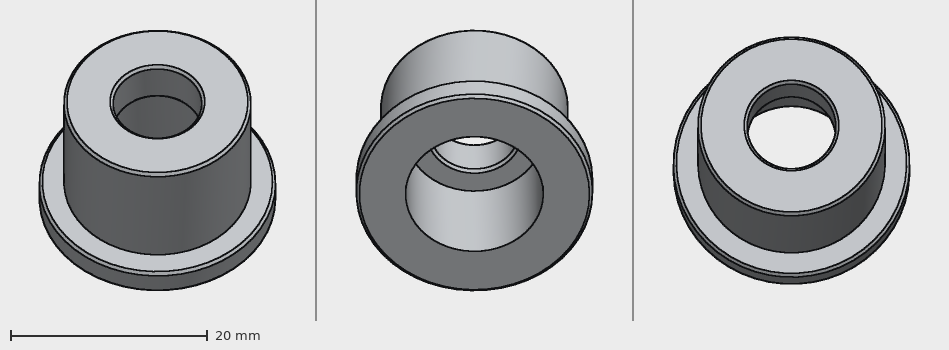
import cadquery as cq

flange_diameter = 24.0
flange_thickness = 3.0
body_diameter = 19.0
total_height = 16.0

bore_diameter = 9.0
bore_length = 5.0
recess_diameter = 14.0
recess_depth = total_height - bore_length

rim_chamfer = 0.3
bore_chamfer = 0.3


def chamfered_disc(diameter, height, rims):
    """Cylinder standing on Z = 0 with the selected circular rims chamfered."""
    disc = cq.Workplane("XY").circle(diameter / 2).extrude(height)
    return disc.faces(rims).edges().chamfer(rim_chamfer)


flange = chamfered_disc(flange_diameter, flange_thickness, "|Z")
body = chamfered_disc(body_diameter, total_height, ">Z")
bushing = flange.union(body)

bore_radius = bore_diameter / 2
mouth_radius = bore_radius + bore_chamfer
bore = (
    cq.Workplane("XZ")
    .moveTo(0, recess_depth)
    .lineTo(mouth_radius, recess_depth)
    .lineTo(bore_radius, recess_depth + bore_chamfer)
    .lineTo(bore_radius, total_height - bore_chamfer)
    .lineTo(mouth_radius, total_height)
    .lineTo(0, total_height)
    .close()
    .revolve(360, (0, 0, 0), (0, 1, 0))
)

recess = cq.Workplane("XY").circle(recess_diameter / 2).extrude(recess_depth)

result = bushing.cut(bore).cut(recess)